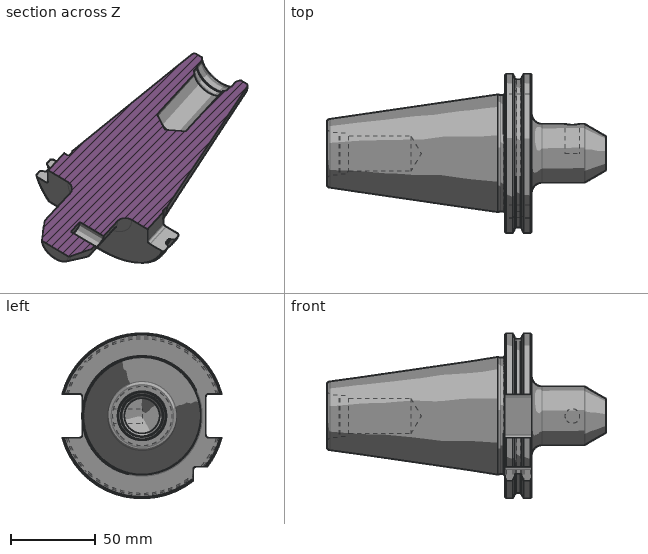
import cadquery as cq
import math

LENGTH = 164.6

TAPER_SLOPE = 7 / 48
GAUGE_X = 101.7
GAUGE_RADIUS = 34.9
TAPER_END_X = 100.7
SHANK_ROUNDING = 2.0

NECK_RADIUS = 34.4
NECK_START_X = 102.2
NECK_FILLET = 1.0

FLANGE_X = 104.9
FLANGE_WIDTH = 16.0
FLANGE_RADIUS = 48.7
FLANGE_CHAMFER = 1.0
GROOVE_OFFSET = 4.6
GROOVE_MOUTH = 6.6
GROOVE_DEPTH = 3.1
GROOVE_FLOOR_WIDTH = 4.1
GROOVE_HALF_ANGLE = 30
GROOVE_FILLET = 0.8

NOSE_RADIUS = 17.5
NOSE_FILLET = 6.0
NOSE_CONE_X = 151.8
NOSE_CONE_ANGLE = 30
NOSE_EDGE_FILLET = 0.3
NOSE_TIP_FILLET = 1.3

BORE_LIP_RADIUS = 14.5
BORE_CONE_RADIUS = 13.8
BORE_CONE_X = 0.3
BORE_PILOT_RADIUS = 12.5
BORE_PILOT_END_X = 6.9
BORE_RELIEF_RADIUS = 12.0
BORE_RELIEF_END_X = 10.9
BORE_THREAD_RADIUS = 10.4
BORE_CONE_HALF_ANGLE = 30
BORE_THREAD_CHAMFER_ANGLE = 45
BORE_PILOT_FILLET = 1.2
BORE_RELIEF_FILLET = 0.8
BORE_DEPTH = 49.4
DRILL_POINT_HALF_ANGLE = 59

SLOT_HALF_WIDTH = 12.8
SLOT_FLOOR_PLUS_Y = 35.2
SLOT_FLOOR_MINUS_Y = 37.7
SLOT_FILLET = 1.6
NOTCH_Y = 30.3
NOTCH_Z = 30.1
NOTCH_FILLET = 1.5

SCREW_HOLE_X = 144.5
SCREW_HOLE_DIAMETER = 8.5

flange_end_x = FLANGE_X + FLANGE_WIDTH


def tan(degrees):
    return math.tan(math.radians(degrees))


def revolve_about_x(profile):
    return profile.close().revolve(360, (0, 0, 0), (1, 0, 0))


def fillet_circle_at(body, x, radius):
    """Round the circular edge whose centre lies at x on the axis."""
    nearest = cq.selectors.NearestToPointSelector((x, 0, 0))
    return body.edges("%CIRCLE").edges(nearest).fillet(radius)


def taper_radius(x):
    return GAUGE_RADIUS - (GAUGE_X - x) * TAPER_SLOPE


def make_shank():
    profile = (
        cq.Workplane("XY")
        .lineTo(0, taper_radius(0))
        .lineTo(TAPER_END_X, taper_radius(TAPER_END_X))
        .lineTo(NECK_START_X, NECK_RADIUS)
        .lineTo(FLANGE_X - NECK_FILLET, NECK_RADIUS)
        .radiusArc((FLANGE_X, NECK_RADIUS + NECK_FILLET), -NECK_FILLET)
        .lineTo(FLANGE_X, 0)
    )
    return revolve_about_x(profile).faces("<X").edges().fillet(SHANK_ROUNDING)


def make_flange():
    disc = (
        cq.Workplane("YZ", origin=(FLANGE_X, 0, 0))
        .circle(FLANGE_RADIUS)
        .extrude(FLANGE_WIDTH)
        .edges()
        .chamfer(FLANGE_CHAMFER)
    )
    groove_start = FLANGE_X + GROOVE_OFFSET
    groove_end = groove_start + GROOVE_MOUTH
    floor_radius = FLANGE_RADIUS - GROOVE_DEPTH
    wall_run = (GROOVE_MOUTH - GROOVE_FLOOR_WIDTH) / 2
    wall_end_radius = FLANGE_RADIUS - wall_run / tan(GROOVE_HALF_ANGLE)
    groove = revolve_about_x(
        cq.Workplane("XY")
        .moveTo(groove_start, FLANGE_RADIUS)
        .lineTo(groove_start + wall_run, wall_end_radius)
        .lineTo(groove_start + wall_run, floor_radius)
        .lineTo(groove_end - wall_run, floor_radius)
        .lineTo(groove_end - wall_run, wall_end_radius)
        .lineTo(groove_end, FLANGE_RADIUS)
    )
    floor_edges = cq.selectors.RadiusNthSelector(0)
    return disc.cut(groove.edges("%CIRCLE").edges(floor_edges).fillet(GROOVE_FILLET))


def make_nose():
    tip_radius = NOSE_RADIUS - (LENGTH - NOSE_CONE_X) * tan(NOSE_CONE_ANGLE)
    profile = (
        cq.Workplane("XY")
        .moveTo(flange_end_x, 0)
        .lineTo(flange_end_x, NOSE_RADIUS + NOSE_FILLET)
        .radiusArc((flange_end_x + NOSE_FILLET, NOSE_RADIUS), -NOSE_FILLET)
        .lineTo(NOSE_CONE_X, NOSE_RADIUS)
        .lineTo(LENGTH, tip_radius)
        .lineTo(LENGTH, 0)
    )
    nose = revolve_about_x(profile).faces(">X").edges().fillet(NOSE_TIP_FILLET)
    return fillet_circle_at(nose, NOSE_CONE_X, NOSE_EDGE_FILLET)


def make_bore():
    cone_slope = tan(BORE_CONE_HALF_ANGLE)
    thread_slope = tan(BORE_THREAD_CHAMFER_ANGLE)
    pilot_x = BORE_CONE_X + (BORE_CONE_RADIUS - BORE_PILOT_RADIUS) / cone_slope
    relief_x = BORE_PILOT_END_X + (BORE_PILOT_RADIUS - BORE_RELIEF_RADIUS) / cone_slope
    thread_x = BORE_RELIEF_END_X + (BORE_RELIEF_RADIUS - BORE_THREAD_RADIUS) / thread_slope
    apex_x = BORE_DEPTH + BORE_THREAD_RADIUS / tan(DRILL_POINT_HALF_ANGLE)
    bore = revolve_about_x(
        cq.Workplane("XY")
        .lineTo(0, BORE_LIP_RADIUS)
        .lineTo(BORE_CONE_X, BORE_CONE_RADIUS)
        .lineTo(pilot_x, BORE_PILOT_RADIUS)
        .lineTo(BORE_PILOT_END_X, BORE_PILOT_RADIUS)
        .lineTo(relief_x, BORE_RELIEF_RADIUS)
        .lineTo(BORE_RELIEF_END_X, BORE_RELIEF_RADIUS)
        .lineTo(thread_x, BORE_THREAD_RADIUS)
        .lineTo(BORE_DEPTH, BORE_THREAD_RADIUS)
        .lineTo(apex_x, 0)
    )
    bore = fillet_circle_at(bore, pilot_x, BORE_PILOT_FILLET)
    return fillet_circle_at(bore, BORE_RELIEF_END_X, BORE_RELIEF_FILLET)


def flange_cutter(y_inner, y_outer, z_low, z_high):
    """Block through the flange width, from one Y and Z to another."""
    return (
        cq.Workplane("YZ", origin=(FLANGE_X, 0, 0))
        .moveTo(y_inner, z_low)
        .lineTo(y_outer, z_low)
        .lineTo(y_outer, z_high)
        .lineTo(y_inner, z_high)
        .close()
        .extrude(FLANGE_WIDTH)
    )


def make_drive_slot(floor_y):
    outer_y = math.copysign(FLANGE_RADIUS, floor_y)
    slot = flange_cutter(floor_y, outer_y, -SLOT_HALF_WIDTH, SLOT_HALF_WIDTH)
    floor_side = "<Y" if floor_y > 0 else ">Y"
    return slot.faces(floor_side).edges("|X").fillet(SLOT_FILLET)


def make_notch():
    notch = flange_cutter(-NOTCH_Y, -FLANGE_RADIUS, -FLANGE_RADIUS, -NOTCH_Z)
    return notch.faces(">Y").edges("|X and >Z").fillet(NOTCH_FILLET)


def make_screw_hole():
    """Blind radial hole from the +Y side down to the axis."""
    return (
        cq.Workplane("XZ", origin=(SCREW_HOLE_X, 0, 0))
        .circle(SCREW_HOLE_DIAMETER / 2)
        .extrude(-FLANGE_RADIUS)
    )


flange = (
    make_flange()
    .cut(make_drive_slot(SLOT_FLOOR_PLUS_Y))
    .cut(make_drive_slot(-SLOT_FLOOR_MINUS_Y))
    .cut(make_notch())
)
result = (
    make_shank()
    .union(flange)
    .union(make_nose())
    .cut(make_bore())
    .cut(make_screw_hole())
)